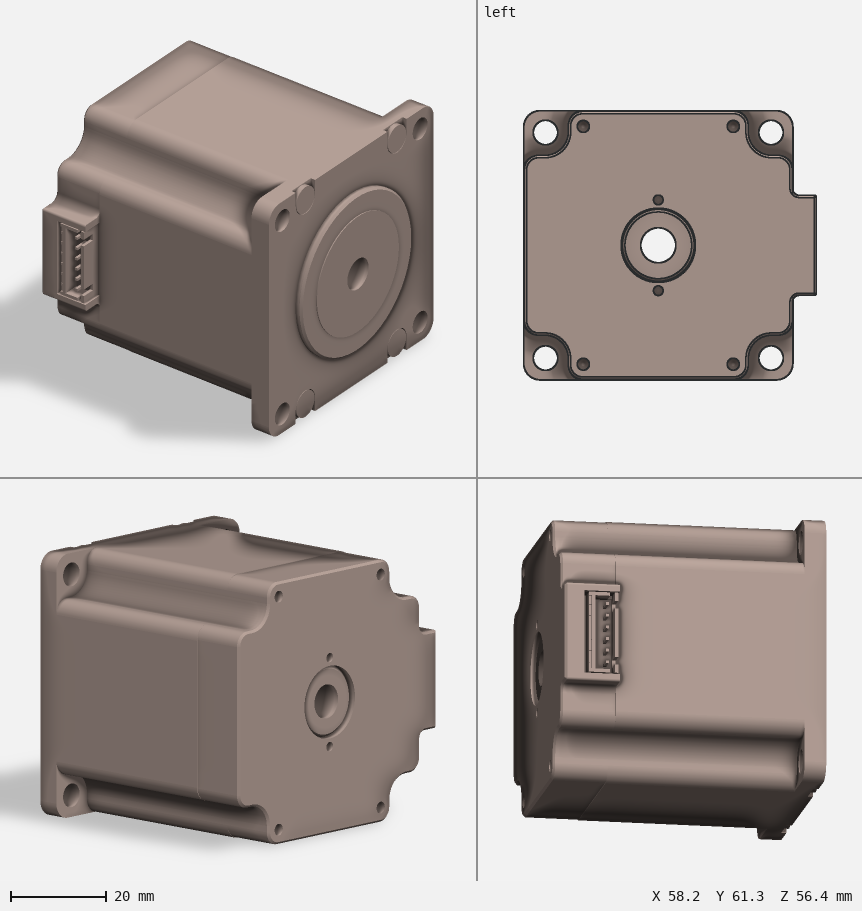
import cadquery as cq
import math

FLANGE_WIDTH = 56.4
HALF_WIDTH = FLANGE_WIDTH / 2
CAP_INSET = 0.2

CAP_END = 11.7
BODY_END = 51.85
FLANGE_END = 56.45
PILOT_END = 58.0
BOSS_END = 58.2

RELIEF_WALL = 18.8
RELIEF_RADIUS = 4.9
SHOULDER_START = 25.05

FLANGE_CORNER_RADIUS = 3.5
MOUNT_HOLE_DIAMETER = 5.1
MOUNT_HOLE_OFFSET = 23.6
PILOT_DIAMETER = 38.1
BOSS_DIAMETER = 28.05
EDGE_CHAMFER = 0.5

SHAFT_BORE_DIAMETER = 7.3
BEARING_SEAT_DIAMETER = 15.55
BEARING_DIAMETER = 15.1
BEARING_DEPTH = 1.0
BEARING_CHAMFER = 0.55
BEARING_GROOVE_DEPTH = 1.85

SCREW_Y = 15.7
SCREW_Z = 24.9
TAP_HOLE_DIAMETER = 2.5
TAP_HOLE_DEPTH = 4.9
DRILL_POINT_ANGLE = 118.0
DOWEL_HOLE_DIAMETER = 2.0
DOWEL_HOLE_DEPTH = 3.05
DOWEL_HOLE_OFFSET = 9.5

SCREW_SLOT_WIDTH = 6.6
SCREW_SLOT_DEPTH = 1.1
SCREW_HEAD_DIAMETER = 6.25

BLOCK_HEIGHT = 20.95
BLOCK_FRONT = -33.1
BLOCK_ROOT_RADIUS = 1.55
BLOCK_EDGE_RADIUS = 0.5
SOCKET_START = 4.15
SOCKET_HEIGHT = 17.8
SOCKET_DEPTH = 4.9

SHELL_START = 5.15
SHELL_END = 11.35
SHELL_HEIGHT = 17.3
CAVITY_START = 6.5
CAVITY_END = 10.6
CAVITY_HEIGHT = 15.8
CAVITY_DEPTH = 3.7
TAIL_POCKET_END = 5.7
TAIL_POCKET_DEPTH = 0.35
FOOT_START = 4.65
FOOT_THICKNESS = 1.2
TAIL_DEPTH = 0.2
KEY_SLOT_INNER = 5.3
KEY_SLOT_OUTER = 6.85
KEY_SLOT_DEPTH = 3.05
END_SLOT_START = 9.6
PIN_COUNT = 6
PIN_PITCH = 2.5
PIN_SIZE = 0.6
PIN_X = 9.1
PIN_TIP_DEPTH = 0.3

SOCKET_FLOOR = BLOCK_FRONT + SOCKET_DEPTH


def box(x_range, y_range, z_range):
    """Box between the given limits on each axis."""
    size = [end - start for start, end in (x_range, y_range, z_range)]
    corner = cq.Vector(x_range[0], y_range[0], z_range[0])
    return cq.Workplane(cq.Solid.makeBox(*size, corner))


def centred(height):
    """Limits of a span centred on zero."""
    return (-height / 2, height / 2)


def rod(diameter, x_start, x_end, places=((0, 0),)):
    """Cylinders along X at the given (Y, Z) places."""
    plane = cq.Workplane("YZ", origin=(x_start, 0, 0))
    return plane.pushPoints(places).circle(diameter / 2).extrude(x_end - x_start)


def four_places(y, z):
    """The four mirror images of a (Y, Z) place."""
    return [(sy * y, sz * z) for sy in (-1, 1) for sz in (-1, 1)]


def quarter_turned(point, turns):
    """A (Y, Z) point turned clockwise about the axis by a number of quarter turns."""
    y, z = point
    for _ in range(turns):
        y, z = z, -y
    return (y, z)


def relieved_prism(half_width, x_start, x_end):
    """Square prism whose four corners are cut back around the mounting holes."""
    shoulder_radius = half_width - SHOULDER_START
    flat_end = RELIEF_WALL - shoulder_radius
    relief_centre = RELIEF_WALL + RELIEF_RADIUS
    shoulder_reach = shoulder_radius * math.sqrt(0.5)
    relief_mid = relief_centre - RELIEF_RADIUS * math.sqrt(0.5)

    prism = cq.Workplane("YZ", origin=(x_start, 0, 0)).moveTo(-flat_end, half_width)
    for turns in range(4):
        (
            flat_corner,
            first_shoulder_mid,
            first_wall_start,
            first_wall_end,
            relief_middle,
            second_wall_start,
            second_wall_end,
            second_shoulder_mid,
            corner_end,
        ) = [
            quarter_turned(point, turns)
            for point in (
                (flat_end, half_width),
                (flat_end + shoulder_reach, SHOULDER_START + shoulder_reach),
                (RELIEF_WALL, SHOULDER_START),
                (RELIEF_WALL, relief_centre),
                (relief_mid, relief_mid),
                (relief_centre, RELIEF_WALL),
                (SHOULDER_START, RELIEF_WALL),
                (SHOULDER_START + shoulder_reach, flat_end + shoulder_reach),
                (half_width, flat_end),
            )
        ]
        prism = (
            prism
            .lineTo(*flat_corner)
            .threePointArc(first_shoulder_mid, first_wall_start)
            .lineTo(*first_wall_end)
            .threePointArc(relief_middle, second_wall_start)
            .lineTo(*second_wall_end)
            .threePointArc(second_shoulder_mid, corner_end)
        )
    return prism.close().extrude(x_end - x_start)


def end_cap():
    """Rear cap with the terminal block, chamfered around its rear face."""
    cap_half = HALF_WIDTH - CAP_INSET
    cap = relieved_prism(cap_half, 0, CAP_END)
    block = box((0, CAP_END), (BLOCK_FRONT, 0), centred(BLOCK_HEIGHT))
    block = block.edges("|X and <Y").fillet(BLOCK_EDGE_RADIUS)
    cap = cap.union(block)
    for side in (-1, 1):
        root = (CAP_END / 2, -cap_half, side * BLOCK_HEIGHT / 2)
        cap = cap.edges(cq.selectors.NearestToPointSelector(root)).fillet(BLOCK_ROOT_RADIUS)
    return cap.faces("<X").chamfer(EDGE_CHAMFER)


def flange():
    """Square mounting flange with the stepped pilot in front."""
    plate = (
        cq.Workplane("YZ", origin=(BODY_END, 0, 0))
        .rect(FLANGE_WIDTH, FLANGE_WIDTH)
        .extrude(FLANGE_END - BODY_END)
        .edges("|X").fillet(FLANGE_CORNER_RADIUS)
    )
    holes = rod(MOUNT_HOLE_DIAMETER, BODY_END, FLANGE_END,
                four_places(MOUNT_HOLE_OFFSET, MOUNT_HOLE_OFFSET))
    pilot = rod(PILOT_DIAMETER, FLANGE_END, PILOT_END).faces(">X").chamfer(EDGE_CHAMFER)
    boss = rod(BOSS_DIAMETER, PILOT_END, BOSS_END)
    return plate.cut(holes).union(pilot).union(boss)


def screw_slots():
    """Slots in the flange face, open at its top and bottom edges, each around a screw head."""
    floor = FLANGE_END - SCREW_SLOT_DEPTH
    places = four_places(SCREW_Y, SCREW_Z)
    slots = rod(SCREW_SLOT_WIDTH, floor, FLANGE_END, places)
    for y, z in places:
        width = (y - SCREW_SLOT_WIDTH / 2, y + SCREW_SLOT_WIDTH / 2)
        opening = sorted((z, math.copysign(HALF_WIDTH, z)))
        slots = slots.union(box((floor, FLANGE_END), width, opening))
    pilot = rod(PILOT_DIAMETER, floor, FLANGE_END)
    heads = rod(SCREW_HEAD_DIAMETER, floor, FLANGE_END, places)
    return slots.cut(pilot).cut(heads)


def bearing_recess():
    """Rear recess that leaves a round bearing face with a chamfered rim standing in it."""
    bearing = rod(BEARING_DIAMETER, BEARING_DEPTH, BEARING_GROOVE_DEPTH)
    bearing = bearing.faces("<X").chamfer(BEARING_CHAMFER)
    return rod(BEARING_SEAT_DIAMETER, 0, BEARING_GROOVE_DEPTH).cut(bearing)


def tapped_holes():
    """Four blind holes with a drill point in the rear face."""
    radius = TAP_HOLE_DIAMETER / 2
    point_length = radius / math.tan(math.radians(DRILL_POINT_ANGLE / 2))
    places = four_places(SCREW_Y, SCREW_Z)
    holes = rod(TAP_HOLE_DIAMETER, 0, TAP_HOLE_DEPTH, places)
    for y, z in places:
        tip = cq.Solid.makeCone(radius, 0, point_length, cq.Vector(TAP_HOLE_DEPTH, y, z), cq.Vector(1, 0, 0))
        holes = holes.union(cq.Workplane(tip))
    return holes


def make_motor():
    """Hollow-shaft motor: end cap, relieved body and front flange in one solid."""
    dowel_places = [(0, -DOWEL_HOLE_OFFSET), (0, DOWEL_HOLE_OFFSET)]
    socket = box((SOCKET_START, CAP_END), (BLOCK_FRONT, SOCKET_FLOOR), centred(SOCKET_HEIGHT))
    return (
        relieved_prism(HALF_WIDTH, CAP_END, BODY_END)
        .union(end_cap())
        .union(flange())
        .cut(screw_slots())
        .cut(bearing_recess())
        .cut(tapped_holes())
        .cut(rod(DOWEL_HOLE_DIAMETER, 0, DOWEL_HOLE_DEPTH, dowel_places))
        .cut(rod(SHAFT_BORE_DIAMETER, 0, BOSS_END))
        .cut(socket)
    )


def make_connector():
    """Pin header that fills the socket, with its pins facing -Y."""
    face = BLOCK_FRONT
    cavity_floor = face + CAVITY_DEPTH
    pocket_floor = face + TAIL_POCKET_DEPTH
    foot_top = SOCKET_FLOOR - FOOT_THICKNESS
    shell_half = SHELL_HEIGHT / 2
    cavity_half = CAVITY_HEIGHT / 2

    shell = box((SHELL_START, SHELL_END), (face, SOCKET_FLOOR), centred(SHELL_HEIGHT))
    foot = box((FOOT_START, SHELL_START), (foot_top, SOCKET_FLOOR), centred(SHELL_HEIGHT))
    cavity = box((CAVITY_START, CAVITY_END), (face, cavity_floor), centred(CAVITY_HEIGHT))
    tail_pocket = box((SHELL_START, TAIL_POCKET_END), (face, pocket_floor), centred(CAVITY_HEIGHT))
    connector = shell.union(foot).cut(cavity).cut(tail_pocket)

    slot_depth = (face, face + KEY_SLOT_DEPTH)
    for side in (-1, 1):
        key_slot = sorted((side * KEY_SLOT_INNER, side * KEY_SLOT_OUTER))
        end_slot = sorted((side * cavity_half, side * shell_half))
        connector = connector.cut(box((CAVITY_END, SHELL_END), slot_depth, key_slot))
        connector = connector.cut(box((END_SLOT_START, CAVITY_END), slot_depth, end_slot))

    for index in range(PIN_COUNT):
        z = (index - (PIN_COUNT - 1) / 2) * PIN_PITCH
        pin_height = (z - PIN_SIZE / 2, z + PIN_SIZE / 2)
        pin_width = (PIN_X - PIN_SIZE / 2, PIN_X + PIN_SIZE / 2)
        pin = box(pin_width, (face + PIN_TIP_DEPTH, cavity_floor), pin_height)
        tail = box((SHELL_START, TAIL_POCKET_END), (face + TAIL_DEPTH, pocket_floor), pin_height)
        connector = connector.union(pin).union(tail)
    return connector


motor = make_motor()
connector = make_connector()

result = cq.Compound.makeCompound([motor.solids().val(), connector.solids().val()])